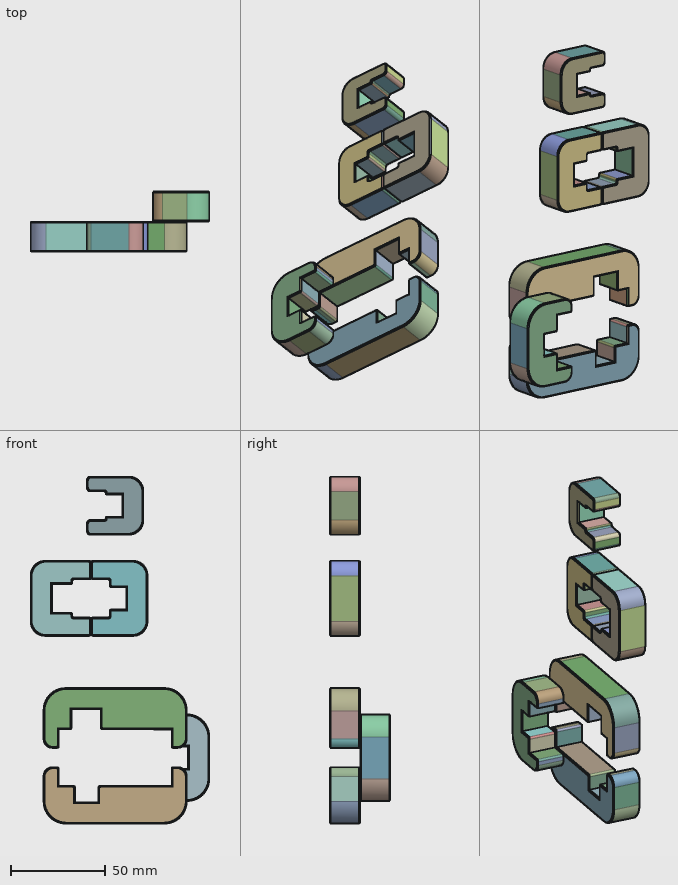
import cadquery as cq

OVERALL_HEIGHT = 184.2
THICKNESS = 16.0
EDGE_CHAMFER = 0.6
EDGE_RADIUS = 1.0

CLIP_DEPTH = 30.0
CLIP_OUTER_RADIUS = 8.0
MOUTH_DEPTH = 10.0
SLOT_DEPTH = 18.6
SLOT_HALF = 5.9

RING_HEIGHT = 40.0
RING_MID_Z = 119.5
RING_SEAM_X = 32.0
RING_MOUTH_HALF = 10.1
RING_TIP_RADIUS = 1.27
RING_LEFT_SLOT_HALF = 7.5
RING_LEFT_SLOT_DEPTH = 20.6

SMALL_HEIGHT = 31.0
SMALL_LEFT_X = 29.8
SMALL_MOUTH_HALF = 7.5
SMALL_TIP_RADIUS = 2.0
SMALL_SLOT_DEPTH = 18.8
SMALL_STEP_RADIUS = 0.65

CONNECTOR_HEIGHT = 46.0
CONNECTOR_LEFT_X = 64.8
CONNECTOR_MID_Z = 35.0
CONNECTOR_MOUTH_HALF = 15.0

FRAME_LEFT_X = 6.8
FRAME_WIDTH = 76.0
FRAME_HEIGHT = 72.0
FRAME_OUTER_RADIUS = 12.0
FRAME_TIP_RADIUS = 5.0
ARM_WIDTH = 8.1
ARM_LENGTH = 10.0

LOWER_HEIGHT = 30.0
LOWER_NOTCH_LEFT = 16.8
LOWER_NOTCH_WIDTH = 12.3
LOWER_NOTCH_DEPTH = 8.7

UPPER_HEIGHT = 31.9
UPPER_NOTCH_LEFT = 15.0
UPPER_NOTCH_WIDTH = 15.5
UPPER_NOTCH_DEPTH = 10.5


def plate(outline):
    """Extrude an XZ outline from Y = 0 to Y = THICKNESS."""
    return cq.Workplane("XZ").polyline(outline).close().extrude(-THICKNESS)


def round_corners(body, corners, radius):
    """Fillet the edges along Y that pass through the given XZ corners."""
    for x, z in corners:
        edge = cq.selectors.NearestToPointSelector((x, THICKNESS / 2, z))
        body = body.edges("|Y").edges(edge).fillet(radius)
    return body


def chamfer_faces(body):
    """Break all edges of the front and back faces."""
    return body.faces("<Y or >Y").edges().chamfer(EDGE_CHAMFER)


def make_clip(height, mouth_half, outer_radius, tip_outer_radius, tip_inner_radius=EDGE_RADIUS,
              depth=CLIP_DEPTH, slot_depth=SLOT_DEPTH, slot_half=SLOT_HALF,
              step_radius=EDGE_RADIUS, root_radius=0):
    """C-shaped clip, centred on Z = 0, with its stepped slot opening at X = 0 toward -X.

    The step of the slot is rounded by step_radius; its inside corner stays sharp if root_radius is 0.
    """
    half = height / 2
    lower_half = [
        (slot_depth, -slot_half),
        (MOUTH_DEPTH, -slot_half),
        (MOUTH_DEPTH, -mouth_half),
        (0, -mouth_half),
        (0, -half),
        (depth, -half),
    ]
    upper_half = [(x, -z) for x, z in reversed(lower_half)]
    clip = plate(lower_half + upper_half)
    clip = round_corners(clip, [(depth, -half), (depth, half)], outer_radius)
    clip = round_corners(clip, [(0, -half), (0, half)], tip_outer_radius)
    clip = round_corners(clip, [(0, -mouth_half), (0, mouth_half)], tip_inner_radius)
    clip = round_corners(clip, [(MOUTH_DEPTH, -slot_half), (MOUTH_DEPTH, slot_half)], step_radius)
    if root_radius:
        clip = round_corners(clip, [(MOUTH_DEPTH, -mouth_half), (MOUTH_DEPTH, mouth_half)], root_radius)
    return chamfer_faces(clip)


def make_frame_half(height, notch_left, notch_width, notch_depth):
    """U-shaped half of the frame, standing on Z = 0 with its left side at X = 0."""
    floor = height - ARM_LENGTH
    notch_right = notch_left + notch_width
    inner_left = ARM_WIDTH
    inner_right = FRAME_WIDTH - ARM_WIDTH
    half = plate([
        (0, 0),
        (FRAME_WIDTH, 0),
        (FRAME_WIDTH, height),
        (inner_right, height),
        (inner_right, floor),
        (notch_right, floor),
        (notch_right, floor - notch_depth),
        (notch_left, floor - notch_depth),
        (notch_left, floor),
        (inner_left, floor),
        (inner_left, height),
        (0, height),
    ])
    half = round_corners(half, [(0, 0), (FRAME_WIDTH, 0)], FRAME_OUTER_RADIUS)
    half = round_corners(half, [(0, height), (FRAME_WIDTH, height)], FRAME_TIP_RADIUS)
    half = round_corners(half, [(inner_left, height), (inner_right, height)], EDGE_RADIUS)
    half = round_corners(half, [(notch_left, floor), (notch_right, floor)], EDGE_RADIUS)
    return chamfer_faces(half)


ring_right = make_clip(
    height=RING_HEIGHT,
    mouth_half=RING_MOUTH_HALF,
    outer_radius=CLIP_OUTER_RADIUS,
    tip_outer_radius=RING_TIP_RADIUS,
    root_radius=EDGE_RADIUS,
).translate((RING_SEAM_X, 0, RING_MID_Z))

ring_left = make_clip(
    height=RING_HEIGHT,
    mouth_half=RING_MOUTH_HALF,
    outer_radius=CLIP_OUTER_RADIUS,
    tip_outer_radius=RING_TIP_RADIUS,
    depth=RING_SEAM_X,
    slot_depth=RING_LEFT_SLOT_DEPTH,
    slot_half=RING_LEFT_SLOT_HALF,
    root_radius=EDGE_RADIUS,
).mirror("YZ").translate((RING_SEAM_X, 0, RING_MID_Z))

small_clip = make_clip(
    height=SMALL_HEIGHT,
    mouth_half=SMALL_MOUTH_HALF,
    outer_radius=CLIP_OUTER_RADIUS,
    tip_outer_radius=SMALL_TIP_RADIUS,
    tip_inner_radius=SMALL_TIP_RADIUS,
    slot_depth=SMALL_SLOT_DEPTH,
    step_radius=SMALL_STEP_RADIUS,
    root_radius=SMALL_STEP_RADIUS,
).translate((SMALL_LEFT_X, 0, OVERALL_HEIGHT - SMALL_HEIGHT / 2))

connector = make_clip(
    height=CONNECTOR_HEIGHT,
    mouth_half=CONNECTOR_MOUTH_HALF,
    outer_radius=FRAME_OUTER_RADIUS,
    tip_outer_radius=FRAME_TIP_RADIUS,
).translate((CONNECTOR_LEFT_X, THICKNESS, CONNECTOR_MID_Z))

frame_lower = make_frame_half(
    LOWER_HEIGHT, LOWER_NOTCH_LEFT, LOWER_NOTCH_WIDTH, LOWER_NOTCH_DEPTH
).translate((FRAME_LEFT_X, 0, 0))

frame_upper = make_frame_half(
    UPPER_HEIGHT, UPPER_NOTCH_LEFT, UPPER_NOTCH_WIDTH, UPPER_NOTCH_DEPTH
).mirror("XY").translate((FRAME_LEFT_X, 0, FRAME_HEIGHT))

result = cq.Compound.makeCompound([
    ring_left.val(),
    ring_right.val(),
    small_clip.val(),
    connector.val(),
    frame_lower.val(),
    frame_upper.val(),
])